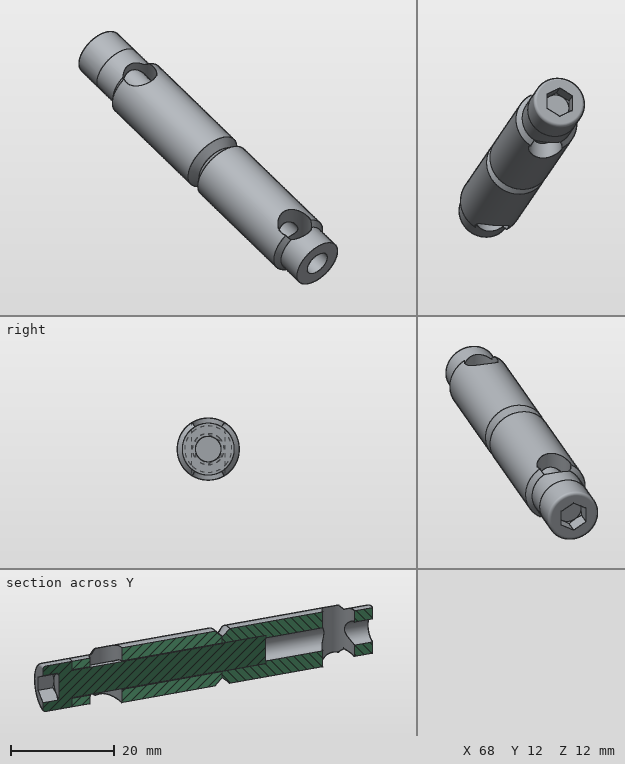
import cadquery as cq
import math

barrel_diameter = 12.0
neck_diameter = 10.0
half_length = 31.0
joint_chamfer = 1.5

near_neck_length = 5.0
near_shoulder_length = 1.0
far_neck_length = 4.95
far_shoulder_length = 0.95

cross_hole_diameter = 6.5
cross_hole_from_end = 7.0

clearance_diameter = 6.1
tap_core_diameter = 4.92

head_length = 6.0
head_diameter = neck_diameter
head_fillet = 0.6
shank_diameter = 6.0
shank_length = 40.0
socket_flats = 5.0
socket_corner_diameter = socket_flats / math.cos(math.pi / 6)
socket_corner_depth = 3.0
socket_floor_slope = math.radians(30)
socket_slope_width = (socket_corner_diameter - socket_flats) / 2
socket_floor_depth = socket_corner_depth + socket_slope_width * math.tan(socket_floor_slope)

near_half_start = head_length
joint_x = near_half_start + half_length
far_end = joint_x + half_length
shank_end = head_length + shank_length


def rod(diameter, start, end):
    """Round bar along X from start to end."""
    return cq.Workplane("YZ", origin=(start, 0, 0)).circle(diameter / 2).extrude(end - start)


def revolve_about_x(points):
    """Solid of revolution about X from an outline of (x, radius) points."""
    return cq.Workplane("XY").polyline(points).close().revolve(360, (0, 0, 0), (1, 0, 0))


def barrel_half(neck_length, shoulder_length):
    """Solid half with its neck end at X = 0, its joint end at X = half_length, and its cross hole."""
    neck_radius = neck_diameter / 2
    barrel_radius = barrel_diameter / 2
    turned = revolve_about_x([
        (0, 0),
        (0, neck_radius),
        (neck_length, neck_radius),
        (neck_length + shoulder_length, barrel_radius),
        (half_length - joint_chamfer, barrel_radius),
        (half_length, barrel_radius - joint_chamfer),
        (half_length, 0),
    ])
    cross_hole = (
        cq.Workplane("XY")
        .center(cross_hole_from_end, 0)
        .circle(cross_hole_diameter / 2)
        .extrude(barrel_diameter, both=True)
    )
    return turned.cut(cross_hole)


def near_barrel_half():
    """Half under the screw head, with a clearance bore right through it."""
    half = barrel_half(near_neck_length, near_shoulder_length).translate((near_half_start, 0, 0))
    return half.cut(rod(clearance_diameter, near_half_start, joint_x))


def far_barrel_half():
    """Half that holds the screw: bored to the shank as far as its tip, then to the tap core."""
    half = barrel_half(far_neck_length, far_shoulder_length)
    half = half.rotate((0, 0, 0), (0, 0, 1), 180).translate((far_end, 0, 0))
    half = half.cut(rod(shank_diameter, joint_x, shank_end))
    return half.cut(rod(tap_core_diameter, shank_end, far_end))


def hex_socket():
    """Hexagonal socket, corners up and down, whose corners slope into a round flat floor."""
    hexagon = (
        cq.Workplane("YZ")
        .transformed(rotate=(0, 0, 90))
        .polygon(6, socket_corner_diameter)
        .extrude(socket_floor_depth)
    )
    corner_radius = socket_corner_diameter / 2
    envelope = revolve_about_x([
        (0, 0),
        (0, corner_radius),
        (socket_corner_depth, corner_radius),
        (socket_floor_depth, socket_flats / 2),
        (socket_floor_depth, 0),
    ])
    return hexagon.intersect(envelope)


def socket_screw():
    """Cap screw with its head face at X = 0 and its shank along +X."""
    head = rod(head_diameter, 0, head_length).faces("<X").edges().fillet(head_fillet)
    shank = rod(shank_diameter, head_length, shank_end)
    return head.union(shank).cut(hex_socket())


near_half = near_barrel_half().solids()
far_half = far_barrel_half().solids()
screw = socket_screw().solids()

result = cq.Compound.makeCompound([near_half.val(), far_half.val(), screw.val()])